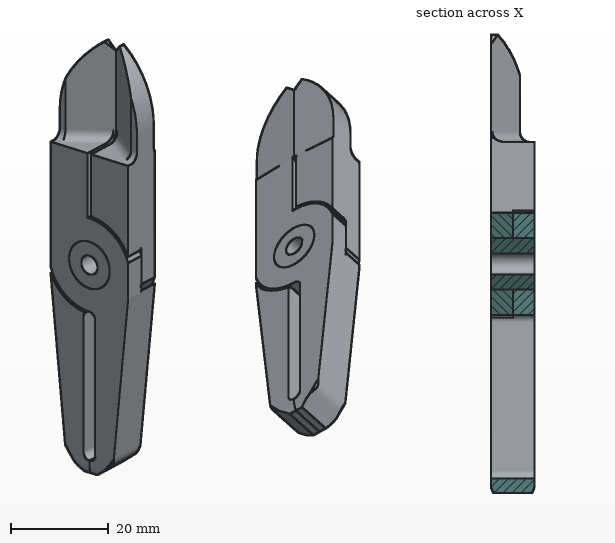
import cadquery as cq
import math

width = 20.0
thickness = 9.0
half_width = width / 2
half_thickness = thickness / 2
top_z = 47.0
bottom_z = -top_z

lap_radius = 10.5
lap_clearance = 0.5
relief_radius = lap_radius + lap_clearance
pin_diameter = 10.5
pin_bore_diameter = 4.2

jaw_arc_radius = 20.0
jaw_arc_start_z = top_z - 16.0
shoulder_z = 25.0
shoulder_fillet = 2.0
slit_width = 0.9
slit_top_z = shoulder_z + 0.8
land_y = -1.5
land_width = 1.5
back_relief_depth = 0.3
back_relief_floor_z = shoulder_z - 0.8

taper_start_z = -5.0
taper_slope = 0.1
end_half_width = 1.6
end_slope = 0.8
end_corner_radius = 3.0
slot_width = 3.0
slot_top_z = -lap_radius
slot_bottom_z = -44.0
end_rounding_height = 1.9
end_rounding_radius = 3.5
end_bevel_angle = 45.0

margin = 1.0


def xz_plane(y):
    """XZ sketch plane at the given Y; it faces -Y, so negative extrusions run toward +Y."""
    return cq.Workplane("XZ", origin=(0, y, 0))


def cylinder(radius, y_start, y_end):
    """Round bar along the pivot axis."""
    return xz_plane(y_start).circle(radius).extrude(y_start - y_end)


def box(x_start, x_end, y_start, y_end, z_start, z_end):
    """Block given by its limits along each axis."""
    size = (x_end - x_start, y_end - y_start, z_end - z_start)
    return cq.Workplane("XY").box(*size, centered=False).translate((x_start, y_start, z_start))


def jaw_arc_x(z):
    """Half width of the jaw outline at height z above the arc start."""
    rise = z - jaw_arc_start_z
    return half_width - jaw_arc_radius + math.sqrt(jaw_arc_radius**2 - rise**2)


def handle_corner():
    """X and Z where the tapered side of a handle would meet its sloped end without rounding."""
    side_x_at_bottom = half_width + taper_slope * (bottom_z - taper_start_z)
    rise = end_slope * (side_x_at_bottom - end_half_width) / (1 - taper_slope * end_slope)
    return side_x_at_bottom + taper_slope * rise, bottom_z + rise


def tool_outline():
    """Plate with the outer shape shared by both halves, still without gaps."""
    mid_z = (jaw_arc_start_z + top_z) / 2
    tip_x = jaw_arc_x(top_z)
    corner_x, corner_z = handle_corner()

    right_half = (
        xz_plane(-half_thickness)
        .moveTo(0, bottom_z)
        .lineTo(end_half_width, bottom_z)
        .lineTo(corner_x, corner_z)
        .lineTo(half_width, taper_start_z)
        .lineTo(half_width, jaw_arc_start_z)
        .threePointArc((jaw_arc_x(mid_z), mid_z), (tip_x, top_z))
        .lineTo(0, top_z - tip_x)
        .close()
        .extrude(-thickness)
    )
    corner_edge = cq.selectors.BoxSelector(
        (corner_x - margin, -thickness, corner_z - margin / 2),
        (corner_x + margin, thickness, corner_z + margin / 2),
    )
    right_half = right_half.edges("|Y").edges(corner_edge).fillet(end_corner_radius)
    return right_half.union(right_half.mirror("YZ"))


def blade_cutter():
    """Space in front of the blades: two slopes meeting at the back face, and a flat land at each side."""
    slope_x = half_width - land_width
    front_y = -half_thickness - margin
    outer_x = half_width + margin
    height = top_z - shoulder_z + margin
    cutter = (
        cq.Workplane("XY", origin=(0, 0, shoulder_z))
        .polyline([
            (-outer_x, front_y), (-outer_x, land_y), (-slope_x, land_y), (0, half_thickness),
            (slope_x, land_y), (outer_x, land_y), (outer_x, front_y),
        ])
        .close()
        .extrude(height)
    )
    root_edges = cq.selectors.BoxSelector(
        (-outer_x + margin / 2, land_y - margin / 2, shoulder_z - margin / 2),
        (outer_x - margin / 2, half_thickness, shoulder_z + margin / 2),
    )
    filleted = cutter.edges(root_edges).fillet(shoulder_fillet)
    slit = box(-slit_width / 2, slit_width / 2, front_y, half_thickness, shoulder_z, top_z)
    return filleted.union(cutter.intersect(slit))


def back_relief_cutter():
    """Waste behind the jaws: a shallow taper, zero at the middle and deepest at the sides."""
    outer_x = half_width + margin
    back_y = half_thickness + shoulder_fillet + margin
    outer_y = half_thickness - back_relief_depth * outer_x / half_width
    height = top_z - back_relief_floor_z + margin
    cutter = (
        cq.Workplane("XY", origin=(0, 0, back_relief_floor_z))
        .polyline([(0, half_thickness), (outer_x, outer_y), (outer_x, back_y), (0, back_y)])
        .close()
        .extrude(height)
    )
    root_edge = cq.selectors.NearestToPointSelector((half_width / 2, half_thickness, back_relief_floor_z))
    cutter = cutter.edges(root_edge).fillet(shoulder_fillet)
    return cutter.union(cutter.mirror("YZ"))


def handle_slot():
    """Rounded slot between the handles."""
    slot_length = slot_top_z - slot_bottom_z
    return (
        xz_plane(-half_thickness)
        .center(0, (slot_top_z + slot_bottom_z) / 2)
        .slot2D(slot_length, slot_width, 90)
        .extrude(-thickness)
    )


def end_rounding_cutter():
    """Waste outside the rounded front and back edges of the handle ends."""
    start_z = bottom_z + end_rounding_height
    inset = end_rounding_radius - math.sqrt(end_rounding_radius**2 - end_rounding_height**2)
    mid_drop = end_rounding_height / 2
    mid_inset = end_rounding_radius - math.sqrt(end_rounding_radius**2 - mid_drop**2)
    front = (
        cq.Workplane("YZ", origin=(-half_width, 0, 0))
        .moveTo(-half_thickness, start_z)
        .threePointArc((-half_thickness + mid_inset, start_z - mid_drop), (-half_thickness + inset, bottom_z))
        .lineTo(-half_thickness, bottom_z)
        .close()
        .extrude(width)
    )
    return front.union(front.mirror("XZ"))


def corner_bevel_cutter():
    """Waste outside the flat bevels across the rounded handle corners, on the front and back faces."""
    corner_x, corner_z = handle_corner()
    side_angle = math.atan(1 / taper_slope)
    turn = side_angle - math.atan(end_slope)
    tangent_length = end_corner_radius * math.tan(turn / 2)
    upper_x = corner_x + tangent_length * math.cos(side_angle)
    upper_z = corner_z + tangent_length * math.sin(side_angle)
    lower_x = end_half_width + end_rounding_height / end_slope
    lower_z = bottom_z + end_rounding_height

    span = math.hypot(upper_x - lower_x, upper_z - lower_z)
    along = cq.Vector(upper_x - lower_x, 0, upper_z - lower_z)
    outward = cq.Vector(upper_z - lower_z, 0, lower_x - upper_x)
    section = cq.Plane(origin=(lower_x, -half_thickness, lower_z), xDir=outward, normal=along)
    depth = margin * math.tan(math.radians(end_bevel_angle))
    wedge = cq.Workplane(section).polyline([(0, 0), (margin, 0), (margin, depth)]).close().extrude(span)
    right = wedge.union(wedge.mirror("XZ"))
    return right.union(right.mirror("YZ"))


def tool_half(jaw_side, lap_side):
    """One half: a jaw on one X side, the opposite handle, and a lap disc on one Y side.

    jaw_side is -1 or +1 along X, lap_side is -1 (front) or +1 (back) along Y.
    """
    outline = tool_outline()
    jaw_block = box(0, half_width, -half_thickness, half_thickness, 0, top_z)
    handle_block = box(-half_width, 0, -half_thickness, half_thickness, bottom_z, 0)
    quadrants = jaw_block.union(handle_block)
    if jaw_side < 0:
        quadrants = quadrants.mirror("YZ")
    slit = box(-slit_width / 2, slit_width / 2, -half_thickness, half_thickness, 0, slit_top_z)

    half = outline.intersect(quadrants)
    half = half.cut(slit).cut(blade_cutter()).cut(back_relief_cutter())
    half = half.cut(handle_slot()).cut(end_rounding_cutter()).cut(corner_bevel_cutter())
    half = half.cut(cylinder(relief_radius, -lap_side * half_thickness, 0))
    lap = cylinder(lap_radius, 0, lap_side * half_thickness).intersect(outline)
    half = half.union(lap)
    return half.cut(cylinder(pin_diameter / 2, -half_thickness, half_thickness))


def pivot_pin():
    """Hollow pin, flush with both faces."""
    pin = cylinder(pin_diameter / 2, -half_thickness, half_thickness)
    return pin.cut(cylinder(pin_bore_diameter / 2, -half_thickness, half_thickness))


front_half = tool_half(jaw_side=-1, lap_side=-1)
back_half = tool_half(jaw_side=1, lap_side=1)
pin = pivot_pin()

result = cq.Compound.makeCompound([front_half.val(), back_half.val(), pin.val()])